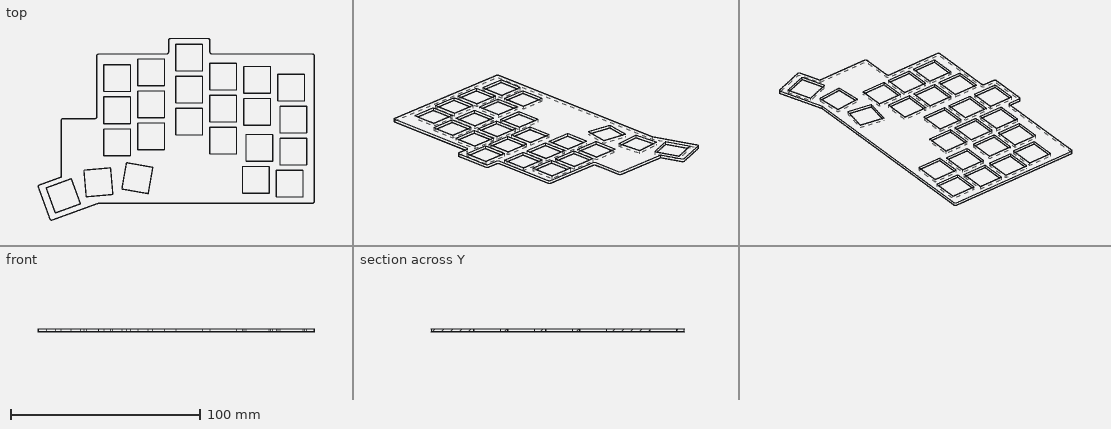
import cadquery as cq
import math

thickness = 1.6
length = 146.0
right_x = length / 2
bottom_y = -39.1
shoulder_y = 39.9
left_x = -60.9
step_x = -42.0
step_y = 5.7
corner_radius = 1.0

window = 14.0
column_pitch = 18.0
row_pitch = 17.0

tab_column_x = 6.9
tab_column_y = 38.0
inner_column_x = tab_column_x + column_pitch
left_column_x = -31.3
finger_columns = [
    (left_column_x, 27.0, 3),
    (left_column_x + column_pitch, 30.1, 3),
    (tab_column_x, tab_column_y, 3),
    (inner_column_x, 27.9, 3),
    (inner_column_x + column_pitch, 26.1, 2),
]

outer_column_x = inner_column_x + 2 * column_pitch
lower_shift = 1.2
bottom_shift = -0.7
outer_column_y = 22.0
outer_drop = 2.0
lower_y = outer_column_y - row_pitch
shifted_windows = [
    (outer_column_x, outer_column_y),
    (outer_column_x + lower_shift, lower_y),
    (outer_column_x + lower_shift, lower_y - row_pitch),
    (outer_column_x + bottom_shift, lower_y - 2 * row_pitch),
    (outer_column_x + lower_shift - column_pitch, lower_y - row_pitch + outer_drop),
    (outer_column_x + bottom_shift - column_pitch, lower_y - 2 * row_pitch + outer_drop),
]

thumb_x = -59.7
thumb_y = -35.2
thumb_tilt = 20.0
thumb_windows = [
    (thumb_x, thumb_y, thumb_tilt),
    (-41.2, -28.0, 5.0),
    (-20.6, -25.8, -10.0),
]

tongue_top = 9.8
tongue_bottom = 10.1

corner_centre_x = right_x - length + corner_radius
corner_offset = (tongue_top - corner_radius) * math.sin(math.radians(thumb_tilt))
corner_reach = (thumb_x - corner_centre_x - corner_offset) / math.cos(math.radians(thumb_tilt))
tongue_left = corner_reach + corner_radius

tab_half_width = 11.0
tab_top_y = 48.0


def tongue_point(along, across):
    """Point at the given offsets from the thumb window centre, in its tilted axes."""
    tilt = math.radians(thumb_tilt)
    return (
        thumb_x + along * math.cos(tilt) - across * math.sin(tilt),
        thumb_y + along * math.sin(tilt) + across * math.cos(tilt),
    )


def tongue_edge_at_x(x, across):
    """Point at x on the long tongue edge lying at the given offset."""
    tilt = math.radians(thumb_tilt)
    return (x, thumb_y + (x - thumb_x) * math.tan(tilt) + across / math.cos(tilt))


def tongue_edge_at_y(y, across):
    """Point at height y on the long tongue edge lying at the given offset."""
    tilt = math.radians(thumb_tilt)
    return (thumb_x + (y - thumb_y - across / math.cos(tilt)) / math.tan(tilt), y)


def make_plate():
    tab_left_x = tab_column_x - tab_half_width
    tab_right_x = tab_column_x + tab_half_width
    rounded_corners = [
        tongue_point(-tongue_left, -tongue_bottom),
        (right_x, bottom_y),
        (right_x, shoulder_y),
        (tab_right_x, shoulder_y),
        (tab_right_x, tab_top_y),
        (tab_left_x, tab_top_y),
        (tab_left_x, shoulder_y),
        (step_x, shoulder_y),
        (step_x, step_y),
        (left_x, step_y),
        tongue_point(-tongue_left, tongue_top),
    ]
    outline = [
        rounded_corners[0],
        tongue_edge_at_y(bottom_y, -tongue_bottom),
        *rounded_corners[1:-1],
        tongue_edge_at_x(left_x, tongue_top),
        rounded_corners[-1],
    ]
    plate = cq.Workplane("XY").polyline(outline).close().extrude(thickness)
    for x, y in rounded_corners:
        corner = cq.selectors.NearestToPointSelector((x, y, thickness / 2))
        plate = plate.edges(corner).fillet(corner_radius)
    return plate


def window_cutter(x, y, tilt=0.0):
    cutter = cq.Workplane("XY").box(window, window, thickness, centered=(True, True, False))
    return cutter.rotate((0, 0, 0), (0, 0, 1), tilt).translate((x, y, 0))


result = make_plate()
for column_x, top_y, count in finger_columns:
    for row in range(count):
        result = result.cut(window_cutter(column_x, top_y - row * row_pitch))
for x, y in shifted_windows:
    result = result.cut(window_cutter(x, y))
for x, y, tilt in thumb_windows:
    result = result.cut(window_cutter(x, y, tilt))